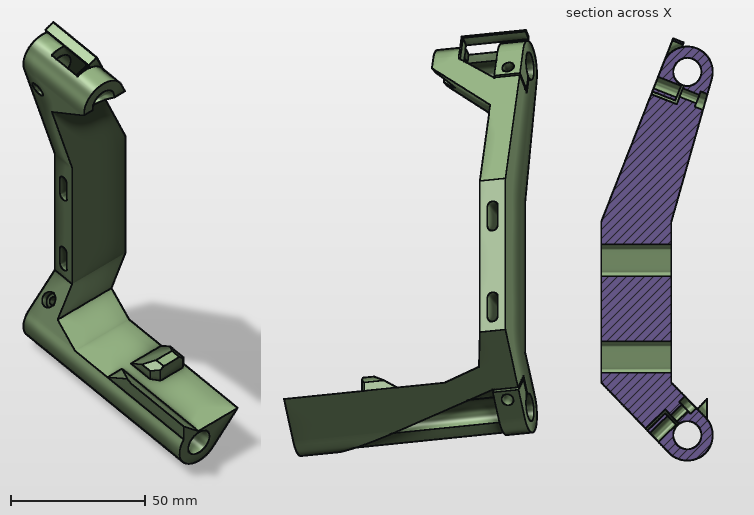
import cadquery as cq
import math


tube_radius = 9.5
bore_diameter = 10.4
bore_radius = bore_diameter / 2
upper_axis_z = 135.4
upper_tube_length = 35.0
lower_tube_length = 90.0

arm_thickness = 10.0
arm_front_y = 5.9
arm_rear_y = 32.1
lower_bend_z = 19.6
upper_bend_z = 79.6

mount_slot_width = 4.0
mount_slot_length = 11.6
mount_slot_heights = (29.1, 65.2)

slit_width = 1.0
clamp_plane_y = -0.7
slit_floor = -12.6
screw_height = -8.0
screw_diameter = 3.2
screw_head_diameter = 6.0
screw_head_depth = 3.0
insert_diameter = 4.5
upper_relief_end = 25.0
upper_relief_slope = 0.77
lower_relief_slope = 0.325

upper_gusset_drop = 20.8
upper_gusset_tip_drop = 0.9
shelf_z = 6.0
web_knee = (13.2, 9.6)
web_end_x = 27.5

hook_start_x = 46.0
hook_slope = 0.66
lip_height = 6.7
lip_width = 7.1
lip_ridge_height = 7.6
lip_ridge_end_x = 57.4
lip_blend_end_x = 59.6
hook_end_x = 60.2
hook_front_y = 4.1
hook_height = 6.5
hook_rear_chamfer = 3.2
hook_front_chamfer = (4.0, 2.3)
hook_front_corner = (3.2, 2.4)
hook_rear_corner = (1.4, 1.6)

tab_top = 9.74
tab_thickness = 0.9
tab_wall_thickness = 0.7

cut_reach = 60.0


def tangent_angle(corner_y, leg_length, side):
    """Lean from vertical of the line from a bend corner that touches the tube on the given side."""
    lean = math.atan2(corner_y, leg_length)
    return lean - side * math.asin(tube_radius / math.hypot(corner_y, leg_length))


upper_rear_angle = tangent_angle(arm_rear_y, upper_axis_z - upper_bend_z, 1)
upper_front_angle = tangent_angle(arm_front_y, upper_axis_z - upper_bend_z, -1)
lower_rear_angle = tangent_angle(arm_rear_y, lower_bend_z, 1)
lower_front_angle = tangent_angle(arm_front_y, lower_bend_z, -1)


def touch_point(angle, side, axis_z, up):
    """Point where a leg edge meets the tube; up is 1 for the upper leg and -1 for the lower."""
    return (side * tube_radius * math.cos(angle), axis_z + up * side * tube_radius * math.sin(angle))


def leg(length, bend_z, axis_z, rear_angle, front_angle, up):
    """Leg from a bend of the arm to a tube, rounded around the tube axis."""
    rear = touch_point(rear_angle, 1, axis_z, up)
    front = touch_point(front_angle, -1, axis_z, up)
    middle_angle = (rear_angle + front_angle) / 2
    tip = (-tube_radius * math.sin(middle_angle), axis_z + up * tube_radius * math.cos(middle_angle))
    return (
        cq.Workplane("YZ")
        .moveTo(arm_rear_y, bend_z)
        .lineTo(*rear)
        .threePointArc(tip, front)
        .lineTo(arm_front_y, bend_z)
        .close()
        .extrude(length)
    )


def prism_along_y(points):
    return cq.Workplane("XZ").polyline(points).close().extrude(cut_reach, both=True)


def to_upper_leg(shape):
    """Place a shape drawn on an upright leg, tube axis at the origin, onto the upper leg."""
    turned = shape.rotate((0, 0, 0), (1, 0, 0), math.degrees(upper_rear_angle))
    return turned.translate((0, 0, upper_axis_z))


def to_lower_leg(shape):
    """The same for the lower leg, which points down."""
    return shape.mirror("XY").rotate((0, 0, 0), (1, 0, 0), -math.degrees(lower_rear_angle))


def relief_floor(x, slope):
    """Height of the sloped relief floor, which starts at the slit floor beside the jaw."""
    return slit_floor + slope * (x - arm_thickness)


def clamp_cut(relief_end, slope):
    """Slit that frees the jaw and relief beside it, on an upright leg with the tube axis at the origin."""
    inner_y = clamp_plane_y + slit_width
    slit = (
        cq.Workplane("YZ")
        .polyline([
            (clamp_plane_y, 0),
            (clamp_plane_y, slit_floor),
            (cut_reach, slit_floor),
            (cut_reach, slit_floor + slit_width),
            (inner_y, slit_floor + slit_width),
            (inner_y, 0),
        ])
        .close()
        .extrude(arm_thickness)
    )
    relief = (
        cq.Workplane("XZ", origin=(0, clamp_plane_y, 0))
        .polyline([
            (arm_thickness, slit_floor),
            (relief_end, relief_floor(relief_end, slope)),
            (relief_end, 2 * tube_radius),
            (arm_thickness, 2 * tube_radius),
        ])
        .close()
        .extrude(-cut_reach)
    )
    return slit.union(relief)


def screw_cut(head_seat_y):
    """Clamp screw: head recess at the front, shank through the slit, insert hole in the jaw."""
    screw_axis = cq.Workplane("XZ", origin=(arm_thickness / 2, 0, screw_height))
    head = screw_axis.workplane(offset=-head_seat_y).circle(screw_head_diameter / 2).extrude(cut_reach / 2)
    shank = screw_axis.circle(screw_diameter / 2).extrude(-head_seat_y)
    insert = screw_axis.circle(insert_diameter / 2).extrude(-cut_reach / 2)
    return head.union(shank).union(insert)


def head_seat(front_angle, rear_angle):
    """Depth position of the screw head seat, set back from the sloping front face of the leg."""
    taper = rear_angle - front_angle
    face_y = -tube_radius / math.cos(taper) + screw_height * math.tan(taper)
    return face_y + screw_head_depth


def upper_leg():
    blank = leg(upper_tube_length, upper_bend_z, upper_axis_z, upper_rear_angle, upper_front_angle, 1)
    below_gusset = prism_along_y([
        (arm_thickness, 0),
        (arm_thickness, upper_axis_z - upper_gusset_drop),
        (upper_tube_length, upper_axis_z - upper_gusset_tip_drop),
        (upper_tube_length, 0),
    ])
    return blank.cut(below_gusset)


def lower_leg():
    blank = leg(lower_tube_length, lower_bend_z, 0, lower_rear_angle, lower_front_angle, -1)
    above_shelf = prism_along_y([
        (arm_thickness, lower_bend_z),
        web_knee,
        (web_end_x, shelf_z),
        (lower_tube_length, shelf_z),
        (lower_tube_length, lower_bend_z),
    ])
    return blank.cut(above_shelf)


def hook_ramp():
    """Space above the sloped leading faces that both hooks share."""
    rise_x = hook_start_x + cut_reach
    rise_z = shelf_z + hook_slope * cut_reach
    return prism_along_y([(hook_start_x, shelf_z), (rise_x, rise_z), (hook_start_x, rise_z)])


def lip():
    """Triangular lip along the front edge of the shelf, with a higher ridge at its start."""
    front_y = -math.sqrt(tube_radius ** 2 - shelf_z ** 2)

    def section(x, height):
        corners = [(front_y, shelf_z), (front_y + lip_width, shelf_z), (front_y, shelf_z + height)]
        return cq.Workplane("YZ", origin=(x, 0, 0)).polyline(corners).close()

    low = section(hook_start_x, lip_height).extrude(lower_tube_length - hook_start_x)
    ridge = section(hook_start_x, lip_ridge_height).extrude(lip_ridge_end_x - hook_start_x)
    low_end = section(lip_blend_end_x, lip_height).wires().vals()[0]
    high_end = section(lip_ridge_end_x, lip_ridge_height).wires().vals()[0]
    blend = cq.Workplane(cq.Solid.makeLoft([high_end, low_end], True))
    return low.union(ridge).union(blend).cut(hook_ramp())


def rear_hook():
    """Wedge at the rear edge of the shelf, chamfered along its top and at its end corners."""
    rear_y = (tube_radius + shelf_z * math.sin(lower_rear_angle)) / math.cos(lower_rear_angle)
    top_z = shelf_z + hook_height
    front_run, front_drop = hook_front_chamfer
    profile = (
        cq.Workplane("YZ", origin=(hook_start_x, 0, 0))
        .polyline([
            (hook_front_y, shelf_z),
            (rear_y, shelf_z),
            (rear_y, top_z - hook_rear_chamfer),
            (rear_y - hook_rear_chamfer, top_z),
            (hook_front_y + front_run, top_z),
            (hook_front_y, top_z - front_drop),
        ])
        .close()
        .extrude(hook_end_x - hook_start_x)
    )
    plan = (
        cq.Workplane("XY")
        .polyline([
            (hook_start_x, hook_front_y),
            (hook_end_x - hook_front_corner[0], hook_front_y),
            (hook_end_x, hook_front_y + hook_front_corner[1]),
            (hook_end_x, rear_y - hook_rear_corner[1]),
            (hook_end_x - hook_rear_corner[0], rear_y),
            (hook_start_x, rear_y),
        ])
        .close()
        .extrude(cut_reach)
    )
    return profile.intersect(plan).cut(hook_ramp())


def mount_slots():
    centres = [(arm_thickness / 2, z) for z in mount_slot_heights]
    return (
        cq.Workplane("XZ")
        .pushPoints(centres)
        .slot2D(mount_slot_length, mount_slot_width, 90)
        .extrude(-cut_reach)
    )


def make_bracket():
    straight = (
        cq.Workplane("YZ")
        .polyline([
            (arm_front_y, lower_bend_z),
            (arm_rear_y, lower_bend_z),
            (arm_rear_y, upper_bend_z),
            (arm_front_y, upper_bend_z),
        ])
        .close()
        .extrude(arm_thickness)
    )
    body = straight.union(upper_leg()).union(lower_leg())

    bores = cq.Workplane("YZ").pushPoints([(0, 0), (0, upper_axis_z)]).circle(bore_radius)
    body = body.cut(bores.extrude(lower_tube_length))
    body = body.cut(to_upper_leg(clamp_cut(upper_relief_end, upper_relief_slope)))
    body = body.cut(to_lower_leg(clamp_cut(lower_tube_length, lower_relief_slope)))
    body = body.cut(to_upper_leg(screw_cut(head_seat(upper_front_angle, upper_rear_angle))))
    body = body.cut(to_lower_leg(screw_cut(head_seat(lower_front_angle, lower_rear_angle))))
    body = body.cut(mount_slots())
    return body.union(lip()).union(rear_hook())


def make_tab():
    """L-shaped tab: a wall against the end of the upper relief carries a plate that overhangs the jaw."""
    wall_x = upper_relief_end - tab_wall_thickness
    upright = (
        cq.Workplane("XZ", origin=(0, bore_radius, 0))
        .polyline([
            (0, tab_top),
            (upper_relief_end, tab_top),
            (upper_relief_end, relief_floor(upper_relief_end, upper_relief_slope)),
            (wall_x, relief_floor(wall_x, upper_relief_slope)),
            (wall_x, tab_top - tab_thickness),
            (0, tab_top - tab_thickness),
        ])
        .close()
        .extrude(bore_radius - tube_radius)
    )
    return to_upper_leg(upright)


bracket = make_bracket()
tab = make_tab()

result = cq.Compound.makeCompound([bracket.val(), tab.val()])